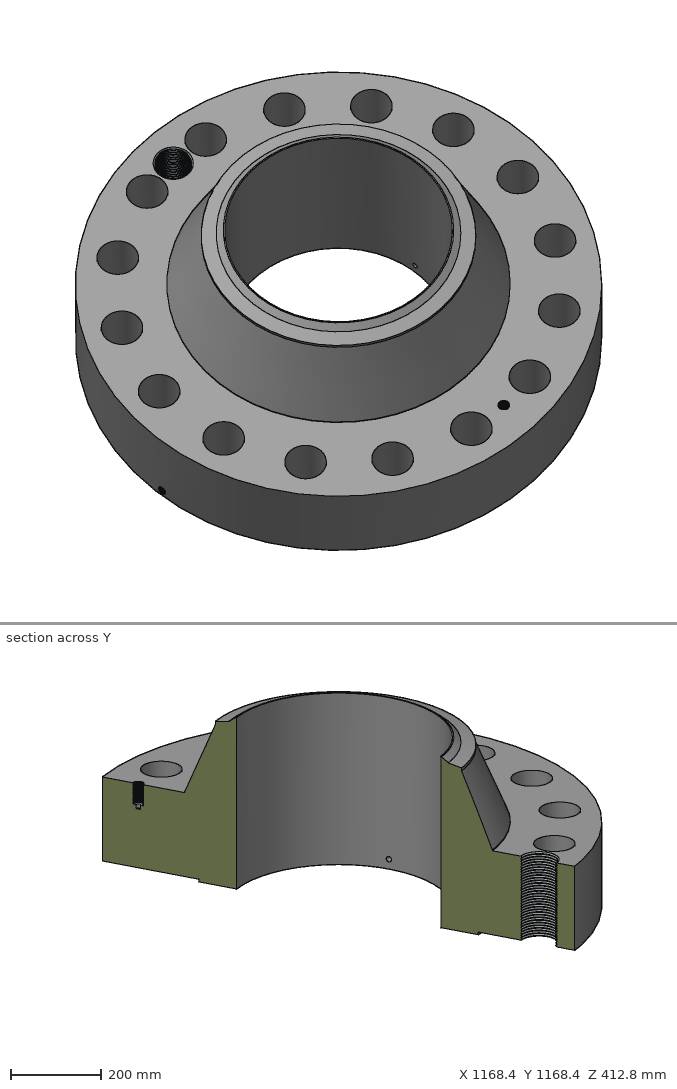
import cadquery as cq
import math

INCH = 25.4

flange_diameter = 46 * INCH
flange_thickness = 8 * INCH
face_diameter = 27.25 * INCH
face_height = 0.25 * INCH
overall_height = 16.25 * INCH
bore_radius = 252.5

hub_base_radius = 15 * INCH
neck_radius = 12 * INCH
neck_height = 7.0
hub_base_height = 2.0

bevel_land = INCH / 8
bevel_break_offset = 19.0
inner_bevel_angle = 37.5
outer_bevel_angle = 10.0

bolt_count = 16
bolt_circle_radius = 39 * INCH / 2
bolt_hole_diameter = 3.625 * INCH

jack_major_diameter = 3.5 * INCH
jack_pitch = INCH / 4

lifting_major_diameter = 1.0 * INCH
lifting_pitch = INCH / 8
lifting_depth = 2 * INCH
lifting_pilot_diameter = 10.0
lifting_pilot_depth = 10.0

thread_depth_ratio = 0.54

tap_height = 24.0
tap_bore_diameter = 0.5 * INCH
tap_major_diameter = 20.0
tap_pitch = INCH / 14
tap_thread_turns = 11

flange_top = face_height + flange_thickness


def make_body():
    """Revolve the raised face, flange ring, hub and weld bevel around Z."""
    land_radius = bore_radius + bevel_land
    break_radius = bore_radius + bevel_break_offset
    inner_drop = (break_radius - land_radius) * math.tan(math.radians(inner_bevel_angle))
    outer_drop = (neck_radius - break_radius) * math.tan(math.radians(outer_bevel_angle))
    break_z = overall_height - inner_drop
    neck_top = break_z - outer_drop
    flange_radius = flange_diameter / 2
    face_radius = face_diameter / 2
    profile = [
        (bore_radius, 0),
        (face_radius, 0),
        (face_radius, face_height),
        (flange_radius, face_height),
        (flange_radius, flange_top),
        (hub_base_radius, flange_top),
        (hub_base_radius, flange_top + hub_base_height),
        (neck_radius, neck_top - neck_height),
        (neck_radius, neck_top),
        (break_radius, break_z),
        (land_radius, overall_height),
        (bore_radius, overall_height),
    ]
    return cq.Workplane("XZ").polyline(profile).close().revolve(360, (0, 0, 0), (0, 1, 0))


def make_bolt_holes():
    """Cylinders for the ring of bolt holes."""
    half_step = 180 / bolt_count
    return (
        cq.Workplane("XY")
        .polarArray(bolt_circle_radius, half_step, 360, bolt_count)
        .circle(bolt_hole_diameter / 2)
        .extrude(flange_top)
    )


def make_thread_cutter(major_diameter, pitch, length):
    """Threaded hole along Z with its mouth at z = 0: one V ridge per pitch and a flat end."""
    major_radius = major_diameter / 2
    minor_radius = major_radius - thread_depth_ratio * pitch
    profile = [(0, -length), (major_radius, -length)]
    for turn in range(round(length / pitch)):
        root_z = turn * pitch - length
        profile.append((minor_radius, root_z + pitch / 2))
        profile.append((major_radius, root_z + pitch))
    profile.append((0, 0))
    return cq.Workplane("XZ").polyline(profile).close().revolve(360, (0, 0, 0), (0, 1, 0))


def make_jack_screw_hole():
    """Threaded hole through the flange on the -X side."""
    cutter = make_thread_cutter(jack_major_diameter, jack_pitch, flange_thickness)
    return cutter.translate((-bolt_circle_radius, 0, flange_top))


def make_lifting_hole():
    """Blind threaded hole with a narrow pilot in its floor, in the flange top on the +X side."""
    thread = make_thread_cutter(lifting_major_diameter, lifting_pitch, lifting_depth)
    pilot = cq.Workplane("XY").circle(lifting_pilot_diameter / 2).extrude(-lifting_depth - lifting_pilot_depth)
    return thread.union(pilot).translate((bolt_circle_radius, 0, flange_top))


def make_pressure_taps():
    """Small bore through both walls along Y, with a threaded socket at each outer end."""
    flange_radius = flange_diameter / 2
    taps = (
        cq.Workplane("XZ", origin=(0, 0, tap_height))
        .circle(tap_bore_diameter / 2)
        .extrude(flange_radius, both=True)
    )
    socket = make_thread_cutter(tap_major_diameter, tap_pitch, tap_thread_turns * tap_pitch)
    for side in (1, -1):
        aimed_socket = socket.rotate((0, 0, 0), (1, 0, 0), -90 * side)
        taps = taps.union(aimed_socket.translate((0, side * flange_radius, tap_height)))
    return taps


result = (
    make_body()
    .cut(make_bolt_holes())
    .cut(make_jack_screw_hole())
    .cut(make_lifting_hole())
    .cut(make_pressure_taps())
)